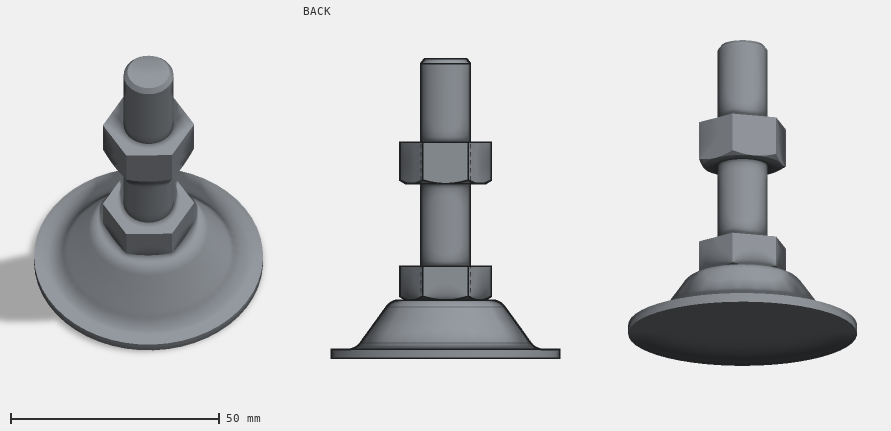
import cadquery as cq
import math

total_height = 72.0

flange_radius = 27.5
flange_thickness = 2.15
base_height = 14.05
cone_bottom_radius = 21.6
cone_top_radius = 13.0
cone_blend = 3.95

stud_radius = 6.0
stud_tip_radius = 5.05
stud_tip_height = 1.15

across_flats = 19.0
across_corners = across_flats / math.cos(math.pi / 6)
nut_chamfer_angle = math.radians(30)
lower_nut_height = 8.1
upper_nut_height = 10.0
upper_nut_bottom = 42.0


def make_base():
    """Flanged cone with a blended foot and a rounded shoulder."""
    profile = [
        (0, 0),
        (flange_radius, 0),
        (flange_radius, flange_thickness),
        (cone_bottom_radius, flange_thickness),
        (cone_top_radius, base_height),
        (0, base_height),
    ]
    body = cq.Workplane("XZ").polyline(profile).close().revolve(360, (0, 0), (0, 1))
    cone_edges = body.edges(cq.selectors.RadiusNthSelector(0)).add(
        body.edges(cq.selectors.RadiusNthSelector(1))
    )
    return cone_edges.fillet(cone_blend)


def make_stud():
    """Round stud standing on the base, with a tapered tip."""
    profile = [
        (0, base_height),
        (stud_radius, base_height),
        (stud_radius, total_height - stud_tip_height),
        (stud_tip_radius, total_height),
        (0, total_height),
    ]
    return cq.Workplane("XZ").polyline(profile).close().revolve(360, (0, 0), (0, 1))


def make_nut(bottom, height):
    """Hexagon nut with corners on the X axis and a conical chamfer underneath."""
    hexagon = cq.Workplane("XY").polygon(6, across_corners).extrude(height)
    face_radius = across_flats / 2
    rim_radius = face_radius + height / math.tan(nut_chamfer_angle)
    chamfer_cone = cq.Workplane(cq.Solid.makeCone(face_radius, rim_radius, height))
    bore = cq.Workplane("XY").circle(stud_radius).extrude(height)
    return hexagon.intersect(chamfer_cone).cut(bore).translate((0, 0, bottom))


base = make_base()
stud = make_stud()
nut_positions = [
    (base_height, lower_nut_height),
    (upper_nut_bottom, upper_nut_height),
]
nuts = [make_nut(bottom, height) for bottom, height in nut_positions]

result = cq.Compound.makeCompound([base.val(), stud.val(), *[nut.val() for nut in nuts]])